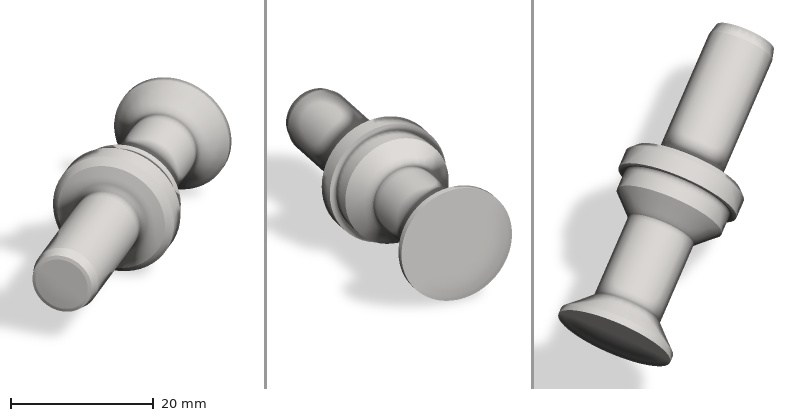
import cadquery as cq
import math

length = 47.7

head_radius = 8.55
neck_radius = 5.0
collar_radius = 16.0 / 2
flange_radius = 18.0 / 2
shank_radius = 4.8
end_face_radius = 3.85

head_rim = 1.0
neck_length = 12.45
collar_length = 3.0
flange_length = 2.7
flange_chamfer = 1.0
tip_length = 1.75

taper_angle = math.radians(15)
root_fillet = 1.0
end_bevel_depth = 0.15

head_cone_back = length - head_rim
head_cone_front = head_cone_back - (head_radius - neck_radius)
collar_cone_back = head_cone_front - neck_length
collar_back = collar_cone_back - (collar_radius - neck_radius)
flange_back = collar_back - collar_length
flange_front = flange_back - flange_length
face_outer_y = flange_front - flange_chamfer
face_outer_radius = flange_radius - flange_chamfer

root_center_radius = shank_radius + root_fillet
face_inner_radius = root_center_radius - root_fillet * math.sin(taper_angle)
face_inner_y = face_outer_y - (face_outer_radius - face_inner_radius) * math.tan(taper_angle)
root_center_y = face_inner_y - root_fillet * math.cos(taper_angle)
root_mid_angle = (math.pi / 2 - taper_angle) / 2
root_mid = (
    root_center_radius - root_fillet * math.cos(root_mid_angle),
    root_center_y + root_fillet * math.sin(root_mid_angle),
)

tip_radius = end_face_radius + end_bevel_depth / math.tan(taper_angle)

section = (
    cq.Workplane("XY")
    .moveTo(0, 0)
    .lineTo(end_face_radius, 0)
    .lineTo(tip_radius, end_bevel_depth)
    .lineTo(shank_radius, tip_length)
    .lineTo(shank_radius, root_center_y)
    .threePointArc(root_mid, (face_inner_radius, face_inner_y))
    .lineTo(face_outer_radius, face_outer_y)
    .lineTo(flange_radius, flange_front)
    .lineTo(flange_radius, flange_back)
    .lineTo(collar_radius, flange_back)
    .lineTo(collar_radius, collar_back)
    .lineTo(neck_radius, collar_cone_back)
    .lineTo(neck_radius, head_cone_front)
    .lineTo(head_radius, head_cone_back)
    .lineTo(head_radius, length)
    .lineTo(0, length)
    .close()
)
result = section.revolve(360, (0, 0, 0), (0, 1, 0))